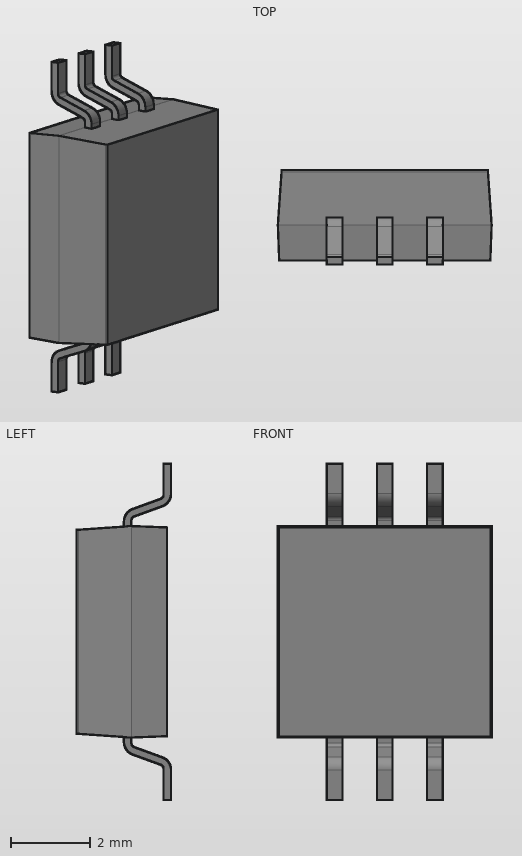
import cadquery as cq
import math

SPAN_Z = 8.5
DEPTH_Y = 2.4
BODY_X = 5.41
BODY_Z = 5.35

STANDOFF = 0.1
PARTING_Y = 1.0
FRONT_INSET = 0.03
BACK_INSET = 0.09
RIM_DEPTH = 0.05

LEAD_PITCH = 1.27
LEADS_PER_SIDE = 3
LEAD_WIDTH = 0.4
LEAD_THICKNESS = 0.195
LEAD_EMBED = 0.425
FOOT_LENGTH = 0.76
BEND_ANGLE = 70.0
OUTER_BEND_RADIUS = 0.35
INNER_BEND_RADIUS = 0.1


def section(y, inset):
    """Rectangular body section at depth y, shrunk by inset on every side."""
    plane = cq.Plane(origin=(0, y, 0), xDir=(1, 0, 0), normal=(0, 1, 0))
    return cq.Workplane(plane).rect(BODY_X - 2 * inset, BODY_Z - 2 * inset)


def tapered_half(end_y, inset):
    """Half of the body, tapering from the parting plane to end_y."""
    sections = [section(PARTING_Y, 0), section(end_y, inset)]
    outlines = [outline.wires().val() for outline in sections]
    return cq.Workplane(cq.Solid.makeLoft(outlines, True))


def make_body():
    """Two tapered halves meeting at the parting plane, with a straight rim at the back."""
    rim_y = DEPTH_Y - RIM_DEPTH
    front = tapered_half(STANDOFF, FRONT_INSET)
    back = tapered_half(rim_y, BACK_INSET)
    rim = section(rim_y, BACK_INSET).extrude(RIM_DEPTH)
    return front.union(back).union(rim)


def make_lead(x):
    """Upper lead centred at x: a bent strip running from the body to the foot."""
    bend = math.radians(BEND_ANGLE)
    drop = PARTING_Y / math.tan(bend)
    miter = LEAD_THICKNESS * math.tan(bend / 2)

    tip_z = SPAN_Z / 2
    foot_z = tip_z - FOOT_LENGTH - OUTER_BEND_RADIUS * math.tan(bend / 2)
    shoulder_z = foot_z - drop
    root_z = BODY_Z / 2 - LEAD_EMBED
    shoulder_y = PARTING_Y + LEAD_THICKNESS

    outline = [
        (0, tip_z),
        (0, foot_z),
        (PARTING_Y, shoulder_z),
        (PARTING_Y, root_z),
        (shoulder_y, root_z),
        (shoulder_y, shoulder_z + miter),
        (LEAD_THICKNESS, foot_z + miter),
        (LEAD_THICKNESS, tip_z),
    ]
    side_plane = cq.Workplane("YZ", origin=(x - LEAD_WIDTH / 2, 0, 0))
    strip = side_plane.polyline(outline).close().extrude(LEAD_WIDTH)

    def bend_edge(y, z):
        return cq.selectors.NearestToPointSelector((x, y, z))

    strip = strip.edges(bend_edge(0, foot_z)).fillet(OUTER_BEND_RADIUS)
    strip = strip.edges(bend_edge(shoulder_y, shoulder_z + miter)).fillet(OUTER_BEND_RADIUS)
    strip = strip.edges(bend_edge(PARTING_Y, shoulder_z)).fillet(INNER_BEND_RADIUS)
    strip = strip.edges(bend_edge(LEAD_THICKNESS, foot_z + miter)).fillet(INNER_BEND_RADIUS)
    return strip


result = make_body()
for index in range(LEADS_PER_SIDE):
    lead = make_lead((index - (LEADS_PER_SIDE - 1) / 2) * LEAD_PITCH)
    result = result.union(lead)
    result = result.union(lead.mirror("XY"))